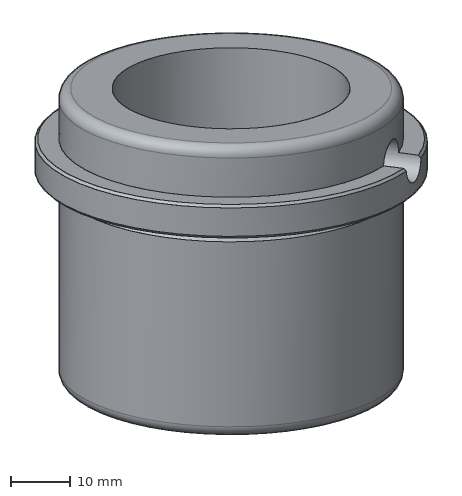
import cadquery as cq

height = 52.0
body_radius = 29.0
bore_radius = 20.0
rim_round = 2.0

flange_radius = 33.0
flange_bottom = 37.0
flange_thickness = 6.0
flange_chamfer = 0.45
flange_top = flange_bottom + flange_thickness

groove_depth = 0.6
groove_width = 1.4
groove_bottom = flange_bottom - groove_width

hole_diameter = 7.0
hole_height = flange_top


def disc(radius, bottom, top):
    """Solid cylinder about the Z axis between two heights."""
    return cq.Workplane("XY").workplane(offset=bottom).circle(radius).extrude(top - bottom)


def lower_body():
    body = disc(body_radius, 0, groove_bottom)
    return body.faces("<Z").edges().fillet(rim_round).faces(">Z").edges().chamfer(groove_depth)


def groove_floor():
    return disc(body_radius - groove_depth, groove_bottom, flange_bottom)


def flange():
    return disc(flange_radius, flange_bottom, flange_top).edges().chamfer(flange_chamfer)


def upper_body():
    return disc(body_radius, flange_top, height).faces(">Z").edges().fillet(rim_round)


bushing = lower_body().union(groove_floor()).union(flange()).union(upper_body())

bore = disc(bore_radius, 0, height)

radial_hole = (
    cq.Workplane("YZ")
    .center(0, hole_height)
    .circle(hole_diameter / 2)
    .extrude(flange_radius)
)

result = bushing.cut(bore).cut(radial_hole)